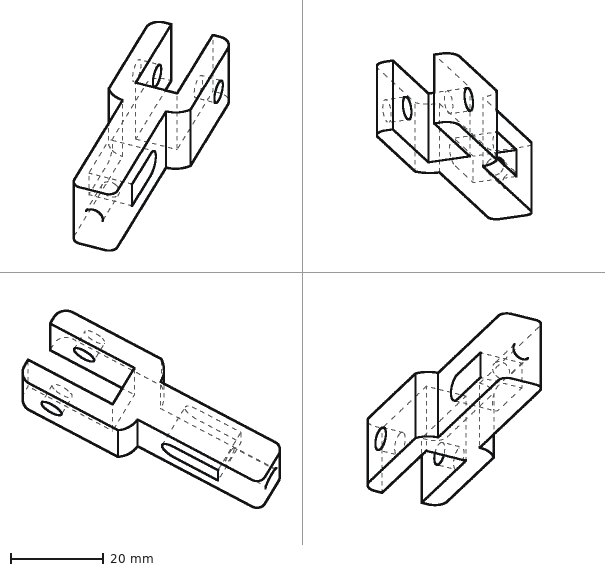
import cadquery as cq
import math

length = 58.0
fork_width = 19.0
height = 16.0

fork_gap = 9.6
fork_gap_depth = 21.0
tip_radius = 3.0
shoulder_y = length - 27.5
shoulder_rise = 2.5
pin_diameter = 5.0
pin_y = length - 8.45

stem_width = 10.1
stem_right = fork_gap / 2
stem_left = stem_right - stem_width
stem_center = (stem_left + stem_right) / 2
stem_end_radius = 2.05

window_height = 6.15
window_start = 10.55
window_end = 24.5

bore_diameter = 4.2
bore_rim_radius = 1.0

shoulder_run = (fork_width - fork_gap) / 2
shoulder_radius = (shoulder_run**2 + shoulder_rise**2) / (2 * shoulder_rise)


def shoulder_height(x):
    """Y of the shoulder arc at a distance x from the fork's middle plane."""
    offset = x - fork_gap / 2
    return shoulder_y + shoulder_radius - math.sqrt(shoulder_radius**2 - offset**2)


def make_fork():
    half_width = fork_width / 2
    side_y = shoulder_y + shoulder_rise
    arc_x = (half_width + fork_gap / 2) / 2
    arc_y = shoulder_height(arc_x)
    blank = (
        cq.Workplane("XY")
        .workplane(offset=-height / 2)
        .moveTo(-fork_gap / 2, shoulder_y)
        .lineTo(fork_gap / 2, shoulder_y)
        .threePointArc((arc_x, arc_y), (half_width, side_y))
        .lineTo(half_width, length)
        .lineTo(-half_width, length)
        .lineTo(-half_width, side_y)
        .threePointArc((-arc_x, arc_y), (-fork_gap / 2, shoulder_y))
        .close()
        .extrude(height)
        .edges("|Z and >Y")
        .fillet(tip_radius)
    )
    gap = cq.Workplane("XY").box(fork_gap, 2 * fork_gap_depth, height).translate((0, length, 0))
    return blank.cut(gap)


def make_stem():
    stem_length = length - fork_gap_depth
    return (
        cq.Workplane("XY")
        .box(stem_width, stem_length, height)
        .translate((stem_center, stem_length / 2, 0))
        .edges("|Z and <Y")
        .fillet(stem_end_radius)
    )


def make_pin_hole():
    return (
        cq.Workplane("YZ")
        .center(pin_y, 0)
        .circle(pin_diameter / 2)
        .extrude(fork_width / 2, both=True)
    )


def make_window():
    """Slot through the stem, square towards the stem end and round towards the fork."""
    half_height = window_height / 2
    arc_start = window_end - half_height
    return (
        cq.Workplane("YZ")
        .moveTo(window_start, -half_height)
        .lineTo(arc_start, -half_height)
        .threePointArc((window_end, 0), (arc_start, half_height))
        .lineTo(window_start, half_height)
        .close()
        .extrude(fork_width / 2, both=True)
    )


def make_bore():
    """Axial hole with a rounded rim, revolved about the stem's centre line."""
    bore_end = (window_start + window_end) / 2
    bore_radius = bore_diameter / 2
    mouth_radius = bore_radius + bore_rim_radius
    arc_offset = bore_rim_radius * math.sqrt(0.5)
    rim_middle = (mouth_radius - arc_offset, bore_rim_radius - arc_offset)
    return (
        cq.Workplane("XY")
        .lineTo(mouth_radius, 0)
        .threePointArc(rim_middle, (bore_radius, bore_rim_radius))
        .lineTo(bore_radius, bore_end)
        .lineTo(0, bore_end)
        .close()
        .revolve(360, (0, 0, 0), (0, 1, 0))
        .translate((stem_center, 0, 0))
    )


body = make_fork().union(make_stem())
result = body.cut(make_pin_hole()).cut(make_window()).cut(make_bore())